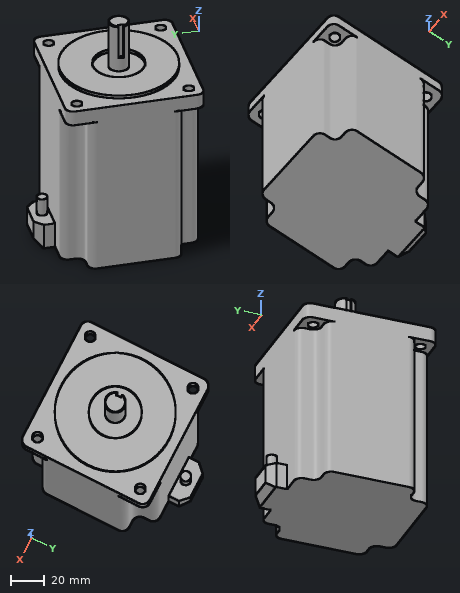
import cadquery as cq
import math

total_height = 146.8
flange_width = 86.0
flange_thickness = 9.8
flange_corner_radius = 5.0

pilot_diameter = 73.0
pilot_height = 2.0
recess_diameter = 32.0
recess_depth = 2.0

shaft_diameter = 12.6
shaft_length = 30.0
shaft_chamfer = 0.5
key_width = 3.4
key_depth = 2.0
key_length = 22.6

hole_spacing = 69.5
hole_diameter = 6.5

notch_depth = 13.8
notch_radius = 5.0

outlet_width = 26.7
outlet_depth = 12.0
outlet_height = 16.9
outlet_side_chamfer = 5.1
outlet_bottom_chamfer = 4.7
cable_diameter = 6.5
cable_height = 11.6
cable_inset = 7.3

half_width = flange_width / 2
flange_top = total_height - shaft_length - pilot_height
flange_bottom = flange_top - flange_thickness
pilot_top = flange_top + pilot_height


def make_corner_notch():
    """Cutter for the +X +Y corner: a concave inner corner and two convex lips."""
    wall = half_width - notch_depth
    lip_center = half_width - notch_radius
    lip_start = wall - notch_radius
    inner_center = wall + notch_radius
    diagonal = notch_radius * math.sqrt(0.5)
    return (
        cq.Workplane("XY")
        .moveTo(lip_start, half_width)
        .threePointArc((lip_start + diagonal, lip_center + diagonal), (wall, lip_center))
        .lineTo(wall, inner_center)
        .threePointArc((inner_center - diagonal, inner_center - diagonal), (inner_center, wall))
        .lineTo(lip_center, wall)
        .threePointArc((lip_center + diagonal, lip_start + diagonal), (half_width, lip_start))
        .lineTo(half_width, half_width)
        .close()
        .extrude(flange_bottom)
    )


def make_body():
    body = cq.Workplane("XY").rect(flange_width, flange_width).extrude(flange_top)
    body = body.edges("|Z").fillet(flange_corner_radius)
    notch = make_corner_notch()
    for angle in (0, 90, 180, 270):
        body = body.cut(notch.rotate((0, 0, 0), (0, 0, 1), angle))
    holes = (
        cq.Workplane("XY", origin=(0, 0, flange_bottom))
        .rect(hole_spacing, hole_spacing, forConstruction=True)
        .vertices()
        .circle(hole_diameter / 2)
        .extrude(flange_thickness)
    )
    return body.cut(holes)


def make_pilot():
    return cq.Workplane("XY", origin=(0, 0, flange_top)).circle(pilot_diameter / 2).extrude(pilot_height)


def make_recess():
    return (
        cq.Workplane("XY", origin=(0, 0, pilot_top - recess_depth))
        .circle(recess_diameter / 2)
        .extrude(recess_depth)
    )


def make_shaft():
    shaft = (
        cq.Workplane("XY", origin=(0, 0, pilot_top - recess_depth))
        .circle(shaft_diameter / 2)
        .extrude(shaft_length + recess_depth)
        .faces(">Z")
        .chamfer(shaft_chamfer)
    )
    keyway = cq.Workplane("XY").box(key_depth, key_width, key_length, centered=(False, True, False))
    return shaft.cut(keyway.translate((-shaft_diameter / 2, 0, total_height - key_length)))


def make_cable_outlet():
    outlet = (
        cq.Workplane("XY")
        .box(outlet_width, outlet_depth, outlet_height, centered=(True, False, False))
        .translate((0, half_width, 0))
        .edges("|Z and >Y")
        .chamfer(outlet_side_chamfer)
    )
    outer_y = half_width + outlet_depth
    bottom_wedge = (
        cq.Workplane("YZ")
        .moveTo(outer_y, 0)
        .lineTo(outer_y - outlet_bottom_chamfer, 0)
        .lineTo(outer_y, outlet_bottom_chamfer)
        .close()
        .extrude(outlet_width / 2, both=True)
    )
    cable = (
        cq.Workplane("XY", origin=(0, outer_y - cable_inset, outlet_height))
        .circle(cable_diameter / 2)
        .extrude(cable_height)
    )
    return outlet.cut(bottom_wedge).union(cable)


housing = make_body().union(make_pilot()).cut(make_recess())
result = housing.union(make_shaft()).union(make_cable_outlet())